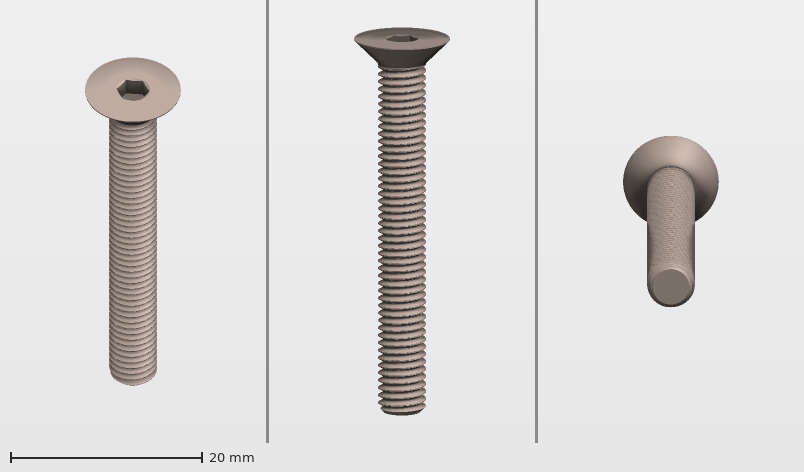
import cadquery as cq
import math


total_length = 40.0
head_diameter = 10.0
head_radius = head_diameter / 2

major_radius = head_radius / 2
minor_radius = 3.95 / 2
pitch = 0.8
crest_width = pitch / 8
root_width = pitch / 8
crest_height_at_plus_x = 0.65
start_angle = -360 * crest_height_at_plus_x / pitch
tip_radius = 1.9
spiral_steps = 12

head_height = 2.8
head_bottom = total_length - head_height
rim_height = 0.1
cone_top = total_length - rim_height
cone_height = head_radius - major_radius

section_count = 31
section_length = head_bottom / section_count
section_twist = 360 * section_length / pitch

socket_across_flats = 3.0
socket_across_corners = socket_across_flats / math.cos(math.radians(30))
socket_depth = 1.95
lead_in_diameter = 3.5
lead_in_slope = math.radians(30)


def make_head():
    """Countersunk head with its neck, turned about Z."""
    return (
        cq.Workplane("XZ")
        .moveTo(0, head_bottom)
        .lineTo(major_radius, head_bottom)
        .lineTo(major_radius, cone_top - cone_height)
        .lineTo(head_radius, cone_top)
        .lineTo(head_radius, total_length)
        .lineTo(0, total_length)
        .close()
        .revolve(360, (0, 0, 0), (0, 1, 0))
    )


def polar_point(radius, angle):
    """Point in the XY plane at an angle in degrees from +X."""
    return radius * math.cos(math.radians(angle)), radius * math.sin(math.radians(angle))


def spiral_points(start_radius, end_radius, start_angle, end_angle):
    """Points along a spiral whose radius grows evenly with angle, without its first point."""
    points = []
    for step in range(1, spiral_steps + 1):
        part = step / spiral_steps
        radius = start_radius + (end_radius - start_radius) * part
        angle = start_angle + (end_angle - start_angle) * part
        points.append(polar_point(radius, angle))
    return points


def make_thread_section():
    """Length of thread made by twisting its horizontal cross-section, with the crest starting at +X."""
    crest_half = 360 * crest_width / pitch / 2
    root_half = 360 * root_width / pitch / 2
    falling_flank = spiral_points(major_radius, minor_radius, crest_half, 180 - root_half)
    rising_flank = spiral_points(minor_radius, major_radius, 180 + root_half, 360 - crest_half)
    return (
        cq.Workplane("XY")
        .moveTo(*polar_point(major_radius, -crest_half))
        .threePointArc(polar_point(major_radius, 0), polar_point(major_radius, crest_half))
        .spline(falling_flank, includeCurrent=True)
        .threePointArc(polar_point(minor_radius, 180), polar_point(minor_radius, 180 + root_half))
        .spline(rising_flank, includeCurrent=True)
        .close()
        .twistExtrude(section_length, section_twist)
    )


def make_threaded_shank():
    """Identical thread sections stacked and turned so the helix runs on, with a chamfered tip.

    Only the outer faces of the sections are kept, closed by the flat faces at both ends.
    """
    section = make_thread_section().rotate((0, 0, 0), (0, 0, 1), start_angle)
    tip_cone = cq.Workplane(obj=cq.Solid.makeCone(
        tip_radius, tip_radius + section_length, section_length))
    tip = section.intersect(tip_cone)

    faces = tip.faces("not %PLANE").vals() + tip.faces("<Z").vals()
    for index in range(1, section_count):
        placed = (
            section
            .rotate((0, 0, 0), (0, 0, 1), index * section_twist)
            .translate((0, 0, index * section_length))
        )
        faces += placed.faces("not %PLANE").vals()
    faces += placed.faces(">Z").vals()
    return cq.Workplane(obj=cq.Solid.makeSolid(cq.Shell.makeShell(faces)))


def make_socket():
    """Hexagon with corners on the Y axis, plus the cone at its mouth."""
    hexagon = (
        cq.Workplane("XY")
        .workplane(offset=total_length - socket_depth)
        .polygon(6, socket_across_corners)
        .extrude(socket_depth)
        .rotate((0, 0, 0), (0, 0, 1), 30)
    )
    lead_in_radius = lead_in_diameter / 2
    cone_depth = lead_in_radius * math.tan(lead_in_slope)
    lead_in = cq.Workplane(obj=cq.Solid.makeCone(
        0, lead_in_radius, cone_depth, cq.Vector(0, 0, total_length - cone_depth)))
    return hexagon.union(lead_in)


result = make_threaded_shank().union(make_head()).cut(make_socket())